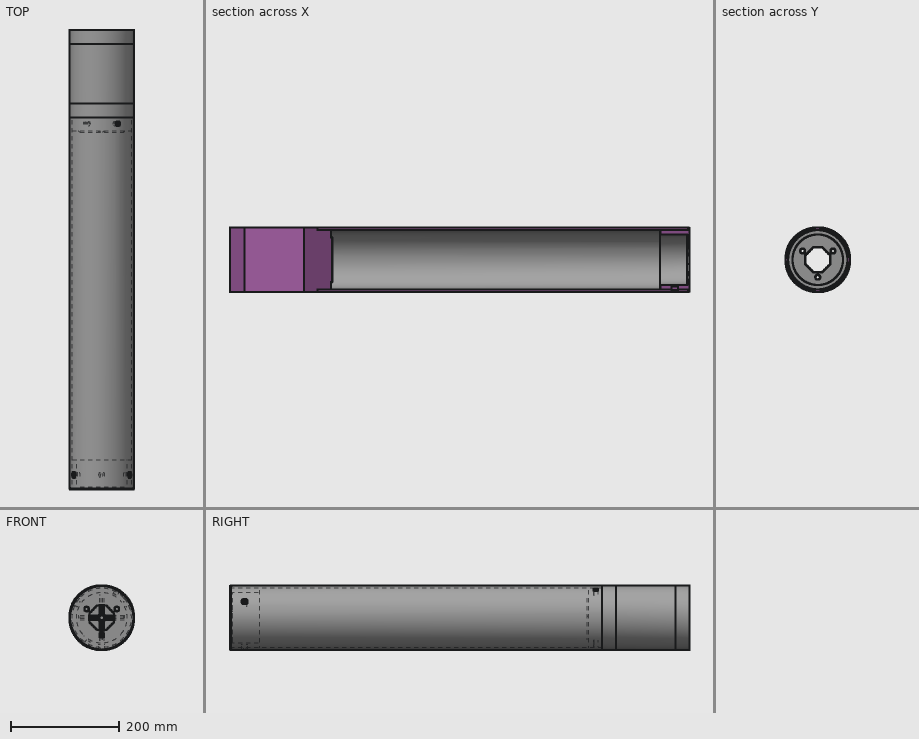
import cadquery as cq

length = 850.0
outer_diameter = 120.0
front_y = -length / 2
back_y = length / 2

cap_length = 26.0
sleeve_length = 110.0
collar_length = 25.5
sleeve_y = back_y - cap_length
collar_y = sleeve_y - sleeve_length
tube_back_y = collar_y - collar_length

flange_thickness = 2.0
flange_diameter = 117.0
tube_front_y = front_y + flange_thickness
tube_wall = 5.0
tube_bore = outer_diameter - 2 * tube_wall

plug_length = 54.0
plug_plate = 4.0
plug_bore = 93.5
window_width = 46.0
window_flat = 16.0

face_hole_diameter = 8.5
face_hole_circle = 65.0

plug_angles = [30, 150, 270]
plug_screw_diameter = 11.0
plug_screw_socket = 5.0
plug_screw_y = front_y + 27.0

collar_angles = [60, 240]
collar_screw_diameter = 8.5
collar_screw_socket = 4.0
collar_screw_y = tube_back_y - 12.0

screw_length = 10.0
socket_depth = 3.0

spigot_length = 25.5
spigot_y = tube_back_y - spigot_length
cross_height = 2.5
cross_span = 85.0
rib_width = 8.0
boss_diameter = 14.5
rib_taper = 45


def cylinder(diameter, y_start, y_end):
    """Solid cylinder on the Y axis between two stations."""
    return cq.Workplane("XZ", origin=(0, y_start, 0)).circle(diameter / 2).extrude(y_start - y_end)


def radial_cylinder(diameter, depth, y, angle):
    """Cylinder running inward by depth from the outer radius, at an angle from +X towards +Z."""
    return (
        cq.Workplane("YZ", origin=(outer_diameter / 2 - depth, y, 0))
        .circle(diameter / 2)
        .extrude(depth)
        .rotate((0, 0, 0), (0, 1, 0), -angle)
    )


def make_screw(diameter, socket, y, angle):
    """Headless radial screw with a round socket in its outer end."""
    body = radial_cylinder(diameter, screw_length, y, angle)
    return body.cut(radial_cylinder(socket, socket_depth, y, angle))


def cut_plug_screw_holes(body):
    for angle in plug_angles:
        body = body.cut(radial_cylinder(plug_screw_diameter, screw_length, plug_screw_y, angle))
    return body


def cut_collar_screw_holes(body):
    for angle in collar_angles:
        body = body.cut(radial_cylinder(collar_screw_diameter, screw_length, collar_screw_y, angle))
    return body


def make_tube():
    body = cylinder(outer_diameter, tube_front_y, tube_back_y)
    body = body.cut(cylinder(tube_bore, tube_front_y, tube_back_y))
    return cut_collar_screw_holes(cut_plug_screw_holes(body))


def make_window():
    """Octagonal prism through the front plate of the plug."""
    far = window_width / 2
    near = window_flat / 2
    corners = [(near, far), (far, near), (far, -near), (near, -far)]
    corners += [(-x, -z) for x, z in corners]
    return cq.Workplane("XZ", origin=(0, front_y, 0)).polyline(corners).close().extrude(-plug_plate)


def make_plug():
    plug_back_y = front_y + plug_length
    body = cylinder(flange_diameter, front_y, tube_front_y)
    body = body.union(cylinder(tube_bore, tube_front_y, plug_back_y))
    body = body.cut(cylinder(plug_bore, front_y + plug_plate, plug_back_y))
    body = body.cut(make_window())
    hole = cylinder(face_hole_diameter, front_y, front_y + plug_plate)
    hole = hole.translate((face_hole_circle / 2, 0, 0))
    for angle in plug_angles:
        body = body.cut(hole.rotate((0, 0, 0), (0, 1, 0), -angle))
    return cut_plug_screw_holes(body)


def make_cross():
    """Cross of ribs with sloping sides around a central boss."""
    face = cq.Workplane("XZ", origin=(0, spigot_y, 0))
    cross = face.circle(boss_diameter / 2).extrude(cross_height, taper=rib_taper)
    for width, height in [(rib_width, cross_span), (cross_span, rib_width)]:
        cross = cross.union(face.rect(width, height).extrude(cross_height, taper=rib_taper))
    return cross


def make_collar():
    body = cylinder(outer_diameter, tube_back_y, collar_y)
    body = body.union(cylinder(tube_bore, spigot_y, tube_back_y))
    return cut_collar_screw_holes(body.union(make_cross()))


tube = make_tube()
plug = make_plug()
collar = make_collar()
sleeve = cylinder(outer_diameter, collar_y, sleeve_y)
cap = cylinder(outer_diameter, sleeve_y, back_y)
plug_screws = [
    make_screw(plug_screw_diameter, plug_screw_socket, plug_screw_y, angle) for angle in plug_angles
]
collar_screws = [
    make_screw(collar_screw_diameter, collar_screw_socket, collar_screw_y, angle) for angle in collar_angles
]

bodies = [tube, plug, collar, sleeve, cap] + plug_screws + collar_screws
result = cq.Compound.makeCompound([body.val() for body in bodies])